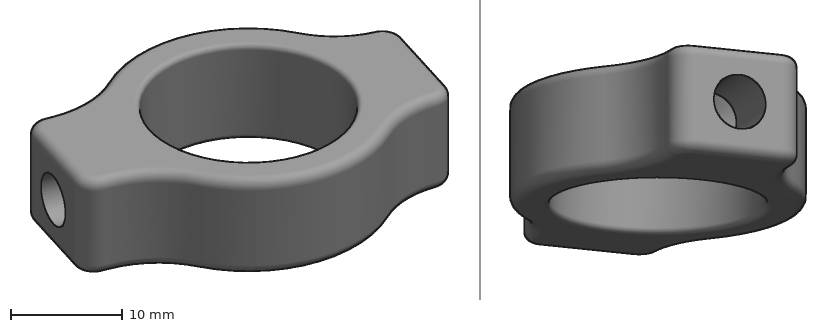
import cadquery as cq
import math

height = 10.0
ring_radius = 13.3
bore_radius = 9.75
rim_fillet = 1.0
bore_fillet = 0.5

front_end = 19.45
back_end = 17.55
front_half_width = 6.18
front_blend_radius = 10.0
back_blend_radius = 9.0
corner_radius = 2.0

hole_radius = 2.5
hole_depth = 7.0
drill_point_angle = 118.0

blend_angle = math.acos((front_half_width + front_blend_radius) / (ring_radius + front_blend_radius))


def polar(radius, angle):
    return radius * math.cos(angle), radius * math.sin(angle)


def blend_point(center, radius, y):
    """Point at height y on the inner side of a blend circle."""
    return center[0] - math.sqrt(radius**2 - (y - center[1]) ** 2), y


def mirror_x(point):
    return -point[0], point[1]


def make_body():
    front_center = polar(ring_radius + front_blend_radius, -blend_angle)
    back_center = polar(ring_radius + back_blend_radius, blend_angle)
    front_join = polar(ring_radius, -blend_angle)
    back_join = polar(ring_radius, blend_angle)

    front_side = (front_half_width, front_center[1])
    front_corner = (front_half_width, -front_end)
    front_mid = blend_point(front_center, front_blend_radius, (front_join[1] + front_side[1]) / 2)
    back_corner = blend_point(back_center, back_blend_radius, back_end)
    back_mid = blend_point(back_center, back_blend_radius, (back_join[1] + back_end) / 2)

    body = (
        cq.Workplane("XY", origin=(0, 0, -height / 2))
        .moveTo(*front_corner)
        .lineTo(*front_side)
        .threePointArc(front_mid, front_join)
        .threePointArc((ring_radius, 0), back_join)
        .threePointArc(back_mid, back_corner)
        .lineTo(*mirror_x(back_corner))
        .threePointArc(mirror_x(back_mid), mirror_x(back_join))
        .threePointArc((-ring_radius, 0), mirror_x(front_join))
        .threePointArc(mirror_x(front_mid), mirror_x(front_side))
        .lineTo(*mirror_x(front_corner))
        .close()
        .extrude(height)
    )

    for end_face in ("<Y", ">Y"):
        body = body.faces(end_face).edges("|Z").fillet(corner_radius)
    return body.faces("<Z or >Z").edges().fillet(rim_fillet)


def cut_bore(body):
    bored = body.cut(cq.Workplane("XY").circle(bore_radius).extrude(height, both=True))
    round_edges = bored.faces("<Z or >Z").edges("%CIRCLE")
    mouth_edges = round_edges.filter(lambda edge: math.isclose(edge.radius(), bore_radius))
    return mouth_edges.fillet(bore_fillet)


def make_drilled_hole():
    point_length = hole_radius / math.tan(math.radians(drill_point_angle / 2))
    bottom = -front_end + hole_depth
    return (
        cq.Workplane("XY")
        .moveTo(0, -front_end)
        .lineTo(hole_radius, -front_end)
        .lineTo(hole_radius, bottom)
        .lineTo(0, bottom + point_length)
        .close()
        .revolve(360, (0, 0, 0), (0, 1, 0))
    )


result = cut_bore(make_body()).cut(make_drilled_hole())